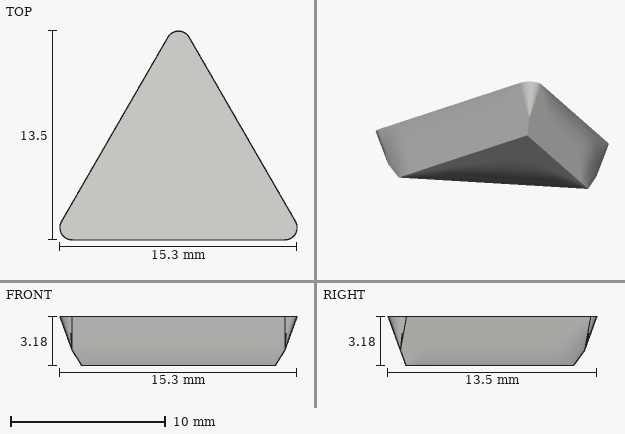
import cadquery as cq
import math

length = 15.34
thickness = 3.18
corner_radius = 0.8
clearance_angle = 20.0

center_spacing = length - 2 * corner_radius
center_distance = center_spacing / math.sqrt(3)
sharp_distance = center_distance + 2 * corner_radius
cone_depth = corner_radius / math.tan(math.radians(clearance_angle))
corner_angles = (90, 210, 330)
corner_sweep = 120


def polar(distance, angle):
    return (
        distance * math.cos(math.radians(angle)),
        distance * math.sin(math.radians(angle)),
    )


def sharp_body():
    """Tapered triangle with its top face at Z = 0."""
    corners = [polar(sharp_distance, angle) for angle in corner_angles]
    return cq.Workplane("XY").polyline(corners).close().extrude(-thickness, taper=clearance_angle)


def corner_waste():
    """Kite prism from the arc center out to the sharp corner, on the +X axis."""
    half_sweep = corner_sweep / 2
    return (
        cq.Workplane("XY")
        .polyline([
            (0, 0),
            polar(corner_radius, -half_sweep),
            (2 * corner_radius, 0),
            polar(corner_radius, half_sweep),
        ])
        .close()
        .extrude(-cone_depth)
    )


def corner_cone():
    """Sector of a cone with its apex down, centered on the +X axis."""
    return (
        cq.Workplane("XZ")
        .polyline([(0, 0), (corner_radius, 0), (0, -cone_depth)])
        .close()
        .revolve(corner_sweep, (0, 0), (0, 1))
        .rotate((0, 0, 0), (0, 0, 1), -corner_sweep / 2)
    )


def at_corner(shape, angle):
    """Move a shape built along +X to the corner at the given angle."""
    return shape.translate((center_distance, 0, 0)).rotate((0, 0, 0), (0, 0, 1), angle)


result = sharp_body()
for angle in corner_angles:
    result = result.cut(at_corner(corner_waste(), angle))
    result = result.union(at_corner(corner_cone(), angle))